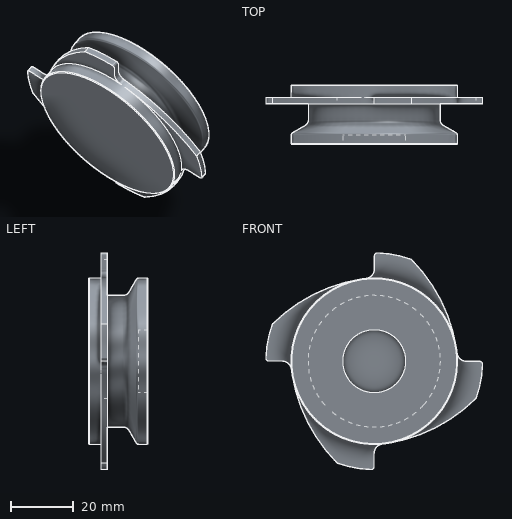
import cadquery as cq
import math

total_width = 19.0
rim_radius = 53.0 / 2
groove_radius = 42.0 / 2
edge_chamfer = 0.3

flange_shoulder = 3.5
flank_angle = math.radians(30)
shoulder_fillet = 1.0
groove_fillet = 2.0

recess_diameter = 20.0
recess_depth = 3.05

plate_front = 13.0
plate_thickness = 2.0
tooth_count = 4
tip_radius = 34.5
tip_corner_fillet = 1.0
root_fillet = 3.0
tip_span = math.radians(20)
cam_end_angle = math.radians(9)


def polar(radius, angle):
    """Point at an angle measured from +X toward +Z."""
    return (radius * math.cos(angle), radius * math.sin(angle))


def offset(center, radius, angle):
    """Point at a polar offset from a center."""
    dx, dz = polar(radius, angle)
    return (center[0] + dx, center[1] + dz)


def make_body():
    """Solid of revolution: front flange, sloping flank, groove and rear rim."""
    flank_width = (rim_radius - groove_radius) * math.tan(flank_angle)
    half_turn = (math.pi / 2 - flank_angle) / 2
    slope = (math.cos(flank_angle), -math.sin(flank_angle))

    shoulder = (rim_radius, flange_shoulder)
    shoulder_setback = shoulder_fillet * math.tan(half_turn)
    heel = (groove_radius, flange_shoulder + flank_width)
    groove_setback = groove_fillet * math.tan(half_turn)
    shoulder_start = (shoulder[0], shoulder[1] - shoulder_setback)
    shoulder_end = (shoulder[0] - shoulder_setback * slope[0], shoulder[1] - shoulder_setback * slope[1])
    heel_start = (heel[0] + groove_setback * slope[0], heel[1] + groove_setback * slope[1])
    heel_end = (heel[0], heel[1] + groove_setback)
    return (
        cq.Workplane("XY")
        .lineTo(rim_radius - edge_chamfer, 0)
        .lineTo(rim_radius, edge_chamfer)
        .lineTo(*shoulder_start)
        .tangentArcPoint(shoulder_end, relative=False)
        .lineTo(*heel_start)
        .tangentArcPoint(heel_end, relative=False)
        .lineTo(groove_radius, plate_front)
        .lineTo(rim_radius, plate_front)
        .lineTo(rim_radius, total_width - edge_chamfer)
        .lineTo(rim_radius - edge_chamfer, total_width)
        .lineTo(0, total_width)
        .close()
        .revolve(360, (0, 0, 0), (0, 1, 0))
    )


def make_tooth():
    """Upper tooth: radial face on Z, arc tip, and a back running tangentially into the rim."""
    root_center = (-root_fillet, math.sqrt((rim_radius + root_fillet) ** 2 - root_fillet**2))
    rim_direction = math.atan2(-root_center[1], -root_center[0])
    root_start = offset(root_center, root_fillet, rim_direction)
    root_middle = offset(root_center, root_fillet, rim_direction / 2)
    root_end = (0, root_center[1])

    corner_center = (
        tip_corner_fillet,
        math.sqrt((tip_radius - tip_corner_fillet) ** 2 - tip_corner_fillet**2),
    )
    corner_direction = math.atan2(corner_center[1], corner_center[0])
    corner_start = (0, corner_center[1])
    corner_middle = offset(corner_center, tip_corner_fillet, (math.pi + corner_direction) / 2)
    corner_end = polar(tip_radius, corner_direction)

    tip_end_angle = math.pi / 2 - tip_span
    tip_middle = polar(tip_radius, (corner_direction + tip_end_angle) / 2)
    tip_end = polar(tip_radius, tip_end_angle)

    cam_end = polar(rim_radius, cam_end_angle)
    chord_squared = (tip_end[0] - cam_end[0]) ** 2 + (tip_end[1] - cam_end[1]) ** 2
    inward_run = rim_radius - tip_radius * math.cos(tip_end_angle - cam_end_angle)
    cam_radius = chord_squared / (2 * inward_run)
    cam_center = polar(rim_radius - cam_radius, cam_end_angle)
    cam_start_angle = math.atan2(tip_end[1] - cam_center[1], tip_end[0] - cam_center[0])
    cam_middle = offset(cam_center, cam_radius, (cam_start_angle + cam_end_angle) / 2)

    return (
        cq.Workplane("XZ", origin=(0, plate_front, 0))
        .lineTo(*root_start)
        .threePointArc(root_middle, root_end)
        .lineTo(*corner_start)
        .threePointArc(corner_middle, corner_end)
        .threePointArc(tip_middle, tip_end)
        .threePointArc(cam_middle, cam_end)
        .close()
        .extrude(-plate_thickness)
    )


def make_recess():
    return cq.Workplane("XZ").circle(recess_diameter / 2).extrude(-recess_depth)


result = make_body()
tooth = make_tooth()
for index in range(tooth_count):
    result = result.union(tooth.rotate((0, 0, 0), (0, 1, 0), index * 360 / tooth_count))
result = result.cut(make_recess())